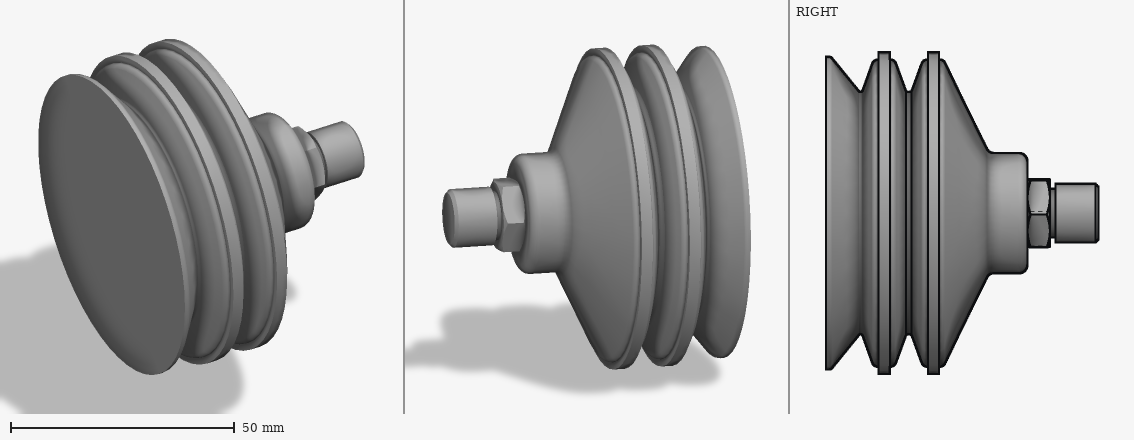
import cadquery as cq
import math


LIP_RADIUS = 35.0
LIP_RIM_HEIGHT = 0.7
LIP_ROUND_RADIUS = 0.9
LIP_CONE_ANGLE = 50.0

BAND_RADIUS = 36.0
BAND_HEIGHT = 2.55
BAND_STARTS = (11.75, 22.8)
SHOULDER_RADIUS = 34.4
ROUND_RADIUS = 1.5
FOLD_CONE_ANGLE = 68.0
TOP_CONE_ANGLE = 64.0

VALLEY_RADIUS = 27.1
VALLEY_EDGE_RADIUS = 27.4
LIP_VALLEY_START = 7.3
LIP_VALLEY_END = 8.2
FOLD_VALLEY_START = 17.9
FOLD_VALLEY_END = 19.2

BODY_RADIUS = 27.0 / 2
BODY_TOP = 45.1
BODY_ROUND_RADIUS = 2.0

HEX_ACROSS_FLATS = 15.0
HEX_HEIGHT = 5.0
HEX_TURN = 2.1
HEX_CHAMFER_ANGLE = 30.0

NECK_RADIUS = 11.0 / 2
NECK_HEIGHT = 1.25
THREAD_RADIUS = 13.16 / 2
THREAD_CHAMFER = 0.75
TOTAL_LENGTH = 61.0

HEX_TOP = BODY_TOP + HEX_HEIGHT
THREAD_START = HEX_TOP + NECK_HEIGHT


def arc_rise(radius, angle):
    """Axial length of an arc that turns from the axial direction by the given angle."""
    return radius * math.sin(math.radians(angle))


def arc_inset(radius, angle):
    """Radial width of an arc that turns from the axial direction by the given angle."""
    return radius * (1 - math.cos(math.radians(angle)))


def revolve_about_y(profile):
    return profile.close().revolve(360, (0, 0, 0), (0, 1, 0))


def add_valley(profile, start, end):
    """Rounded valley between two cones."""
    profile = profile.lineTo(VALLEY_EDGE_RADIUS, start)
    return profile.threePointArc((VALLEY_RADIUS, (start + end) / 2), (VALLEY_EDGE_RADIUS, end))


def add_convolution(profile, band_start, upper_angle):
    """Lower shoulder, band and upper shoulder; the upper shoulder is tangent to the cone above."""
    band_end = band_start + BAND_HEIGHT
    lower_start = (
        SHOULDER_RADIUS - arc_inset(ROUND_RADIUS, FOLD_CONE_ANGLE),
        band_start - arc_rise(ROUND_RADIUS, FOLD_CONE_ANGLE),
    )
    lower_middle = (
        SHOULDER_RADIUS - arc_inset(ROUND_RADIUS, FOLD_CONE_ANGLE / 2),
        band_start - arc_rise(ROUND_RADIUS, FOLD_CONE_ANGLE / 2),
    )
    upper_middle = (
        SHOULDER_RADIUS - arc_inset(ROUND_RADIUS, upper_angle / 2),
        band_end + arc_rise(ROUND_RADIUS, upper_angle / 2),
    )
    upper_end = (
        SHOULDER_RADIUS - arc_inset(ROUND_RADIUS, upper_angle),
        band_end + arc_rise(ROUND_RADIUS, upper_angle),
    )
    return (
        profile.lineTo(*lower_start)
        .threePointArc(lower_middle, (SHOULDER_RADIUS, band_start))
        .lineTo(BAND_RADIUS, band_start)
        .lineTo(BAND_RADIUS, band_end)
        .lineTo(SHOULDER_RADIUS, band_end)
        .threePointArc(upper_middle, upper_end)
    )


def add_lip(profile):
    """Short rim, rounded into the lip cone."""
    round_end = (
        LIP_RADIUS - arc_inset(LIP_ROUND_RADIUS, LIP_CONE_ANGLE),
        LIP_RIM_HEIGHT + arc_rise(LIP_ROUND_RADIUS, LIP_CONE_ANGLE),
    )
    return (
        profile.lineTo(LIP_RADIUS, 0)
        .lineTo(LIP_RADIUS, LIP_RIM_HEIGHT)
        .tangentArcPoint(round_end, relative=False)
    )


def add_body(profile):
    """Top cone blended into the body, whose far edge is rounded."""
    shoulder_end_radius = SHOULDER_RADIUS - arc_inset(ROUND_RADIUS, TOP_CONE_ANGLE)
    shoulder_end = BAND_STARTS[-1] + BAND_HEIGHT + arc_rise(ROUND_RADIUS, TOP_CONE_ANGLE)
    blend_radius = BODY_RADIUS + arc_inset(ROUND_RADIUS, TOP_CONE_ANGLE)
    cone_width = shoulder_end_radius - blend_radius
    blend_start = shoulder_end + cone_width / math.tan(math.radians(TOP_CONE_ANGLE))
    blend_end = blend_start + arc_rise(ROUND_RADIUS, TOP_CONE_ANGLE)
    return (
        profile.lineTo(blend_radius, blend_start)
        .tangentArcPoint((BODY_RADIUS, blend_end), relative=False)
        .lineTo(BODY_RADIUS, BODY_TOP - BODY_ROUND_RADIUS)
        .tangentArcPoint((BODY_RADIUS - BODY_ROUND_RADIUS, BODY_TOP), relative=False)
        .lineTo(0, BODY_TOP)
    )


def make_cup():
    profile = add_lip(cq.Workplane("XY").moveTo(0, 0))
    profile = add_valley(profile, LIP_VALLEY_START, LIP_VALLEY_END)
    profile = add_convolution(profile, BAND_STARTS[0], FOLD_CONE_ANGLE)
    profile = add_valley(profile, FOLD_VALLEY_START, FOLD_VALLEY_END)
    profile = add_convolution(profile, BAND_STARTS[1], TOP_CONE_ANGLE)
    return revolve_about_y(add_body(profile))


def make_hexagon():
    """Hexagon with the corners chamfered conically at both ends."""
    corner_radius = HEX_ACROSS_FLATS / math.sqrt(3)
    face_radius = HEX_ACROSS_FLATS / 2
    drop = (corner_radius - face_radius) * math.tan(math.radians(HEX_CHAMFER_ANGLE))
    prism = (
        cq.Workplane("XZ", origin=(0, BODY_TOP, 0))
        .polygon(6, 2 * corner_radius)
        .extrude(-HEX_HEIGHT)
        .rotate((0, 0, 0), (0, 1, 0), HEX_TURN)
    )
    envelope = (
        cq.Workplane("XY")
        .moveTo(0, BODY_TOP)
        .lineTo(face_radius, BODY_TOP)
        .lineTo(corner_radius, BODY_TOP + drop)
        .lineTo(corner_radius, HEX_TOP - drop)
        .lineTo(face_radius, HEX_TOP)
        .lineTo(0, HEX_TOP)
    )
    return prism.intersect(revolve_about_y(envelope))


def make_stud():
    profile = (
        cq.Workplane("XY")
        .moveTo(0, HEX_TOP)
        .lineTo(NECK_RADIUS, HEX_TOP)
        .lineTo(NECK_RADIUS, THREAD_START)
        .lineTo(THREAD_RADIUS, THREAD_START)
        .lineTo(THREAD_RADIUS, TOTAL_LENGTH - THREAD_CHAMFER)
        .lineTo(THREAD_RADIUS - THREAD_CHAMFER, TOTAL_LENGTH)
        .lineTo(0, TOTAL_LENGTH)
    )
    return revolve_about_y(profile)


result = make_cup().union(make_hexagon()).union(make_stud())